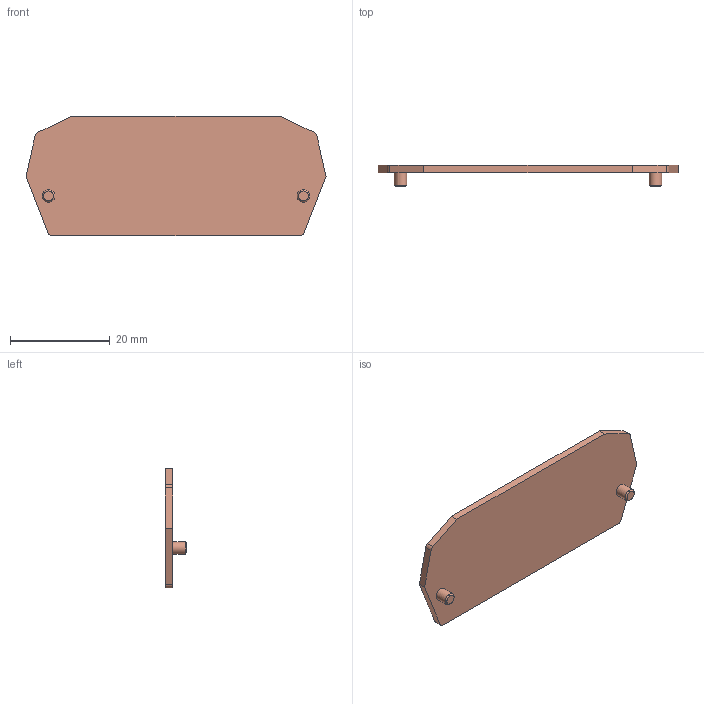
import cadquery as cq

overall_width = 60.06
plate_height = 24.0
plate_thickness = 1.5
top_edge_width = 41.8
shoulder_width = 56.2
shoulder_height = 8.5
side_corner_height = -0.1
bottom_edge_width = 50.8
corner_radius = 1.0

pin_diameter = 2.5
pin_length = 2.8
pin_spacing = 51.0
pin_height = -4.0
pin_chamfer = 0.25


def make_plate():
    """Eight-sided plate with rounded shoulder and bottom corners."""
    top = plate_height / 2
    bottom = -plate_height / 2
    right_side = [
        (bottom_edge_width / 2, bottom),
        (overall_width / 2, side_corner_height),
        (shoulder_width / 2, shoulder_height),
        (top_edge_width / 2, top),
    ]
    left_side = [(-x, z) for x, z in reversed(right_side)]
    plate = cq.Workplane("XZ").polyline(right_side + left_side).close().extrude(-plate_thickness)

    for width, height in ((bottom_edge_width, bottom), (shoulder_width, shoulder_height)):
        for side in (-1, 1):
            corner = (side * width / 2, plate_thickness / 2, height)
            plate = plate.edges(cq.selectors.NearestToPointSelector(corner)).fillet(corner_radius)
    return plate


def make_pin(x):
    """Pin standing out from the front face, with a chamfered tip."""
    pin = cq.Workplane("XZ").center(x, pin_height).circle(pin_diameter / 2).extrude(pin_length)
    return pin.faces("<Y").chamfer(pin_chamfer)


result = make_plate()
for side in (-1, 1):
    result = result.union(make_pin(side * pin_spacing / 2))